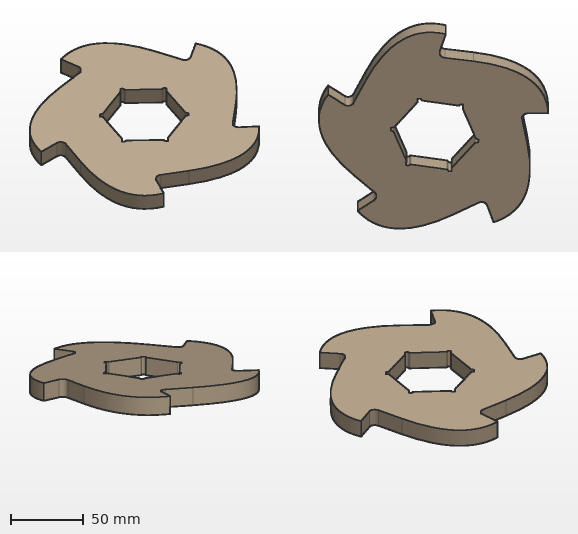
import cadquery as cq
import math

thickness = 12.7
tooth_count = 5
tooth_pitch_angle = 360 / tooth_count

tip_radius = 79.86
tip_angle = 20.56
rake_face_angle = 32.59
rake_face_length = 18.8

gullet_radius = 4.025
back_line_angle = 112.7
back_line_length = 24.55
back_start_handle = 33.0
back_end_handle = 23.1
back_end_angle = 192.5

bore_across_flats = 50.8
bore_corner_radius = bore_across_flats / math.sqrt(3)
corner_relief_radius = 1.5
relief_inset = 0.28
relief_mouth_radius = 0.8
hexagon_sides = 6


def polar(radius, angle):
    """Vector of the given length and direction in the XY plane."""
    radians = math.radians(angle)
    return cq.Vector(radius * math.cos(radians), radius * math.sin(radians))


def tooth_edges(index):
    """Rake face, rounded gullet and curved back between two neighbouring tips."""
    turn = index * tooth_pitch_angle
    rake_direction = polar(1, rake_face_angle + turn)
    back_direction = polar(1, back_line_angle + turn)
    tip = polar(tip_radius, tip_angle + turn)
    next_tip = polar(tip_radius, tip_angle + turn + tooth_pitch_angle)
    corner = tip - rake_direction * rake_face_length

    half_angle = math.radians(back_line_angle - rake_face_angle) / 2
    setback = gullet_radius / math.tan(half_angle)
    corner_to_arc = gullet_radius / math.sin(half_angle) - gullet_radius
    bisector = polar(1, (rake_face_angle + back_line_angle) / 2 + turn)
    rake_end = corner + rake_direction * setback
    gullet_middle = corner + bisector * corner_to_arc
    back_start = corner + back_direction * setback

    curve_start = corner + back_direction * back_line_length
    curve_points = [
        curve_start,
        curve_start + back_direction * back_start_handle,
        next_tip - polar(back_end_handle, back_end_angle + turn),
        next_tip,
    ]
    return [
        cq.Edge.makeLine(tip, rake_end),
        cq.Edge.makeThreePointArc(rake_end, gullet_middle, back_start),
        cq.Edge.makeLine(back_start, curve_start),
        cq.Edge.makeBezier(curve_points),
    ]


def cutter_body():
    """Plate bounded by the ring of hooked teeth."""
    edges = []
    for index in range(tooth_count):
        edges.extend(tooth_edges(index))
    outline = cq.Wire.assembleEdges(edges)
    return cq.Workplane(cq.Solid.extrudeLinear(outline, [], cq.Vector(0, 0, thickness)))


def hexagonal_bore():
    """Through bore with a round relief just inside each corner and rounded relief mouths."""
    relief_circle_radius = bore_corner_radius - relief_inset
    corner_angles = [90 + side * 360 / hexagon_sides for side in range(hexagon_sides)]
    corners = [polar(bore_corner_radius, angle).toTuple()[:2] for angle in corner_angles]
    relief_centres = [polar(relief_circle_radius, angle) for angle in corner_angles]
    hexagon = cq.Workplane().polyline(corners).close().extrude(thickness)
    reliefs = cq.Workplane().pushPoints(relief_centres).circle(corner_relief_radius).extrude(thickness)
    bore = hexagon.union(reliefs)

    def is_mouth_edge(edge):
        middle = edge.Center()
        return math.hypot(middle.x, middle.y) < bore_corner_radius

    return bore.edges("|Z").filter(is_mouth_edge).fillet(relief_mouth_radius)


result = cutter_body().cut(hexagonal_bore())